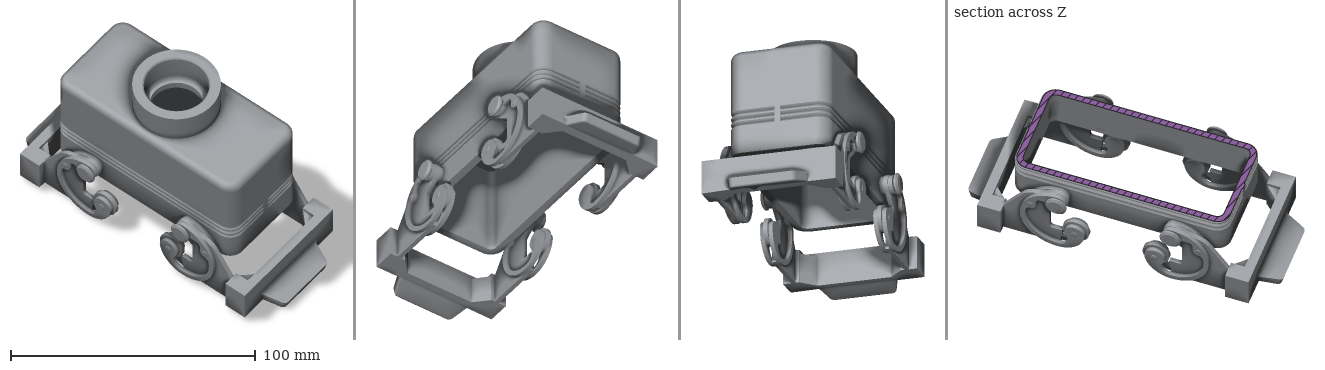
import math

import cadquery as cq


overall_length = 136.8
overall_width = 59.0
overall_height = 80.7

hood_length = 93.5
hood_width = 43.2
hood_height = 45.0
hood_corner_radius = 6.2
hood_top_radius = 3.0
hood_wall = 3.3

groove_count = 3
groove_width = 1.9
groove_depth = 0.8
groove_pitch = 2.5
lowest_groove_z = 12.9
groove_gap_width = 2.7
groove_margin = 1.4

neck_diameter = 36.3
neck_top = 57.7
bore_radius = 13.4
bore_depth = 10.8
bore_chamfer = 0.5
seat_radius = 12.2
seat_depth = 12.9
cable_hole_radius = 11.0

plate_thickness = 1.8
arm_thickness = 1.9
inner_plate_y = hood_width / 2
arm_y = inner_plate_y + plate_thickness
outer_plate_y = arm_y + arm_thickness
stack_outer_y = outer_plate_y + plate_thickness

hook_x = -24.8
hook_z = -4.9
hook_radius = 16.1
hook_inner_radius = 14.0
hook_end_radius = 4.4
pin_end_radius = 3.8
pin_offset = hook_radius - pin_end_radius
roller_offset = (7.4, -5.2)
roller_radius = 5.7
hook_throat_angle = 220
hook_throat_middle = (4.0, -12.0)
bar_bottom = 11.1
bar_fillet = 2.0
boss_offset = (-11.8, 6.8)
boss_radius = 2.5
boss_blend_middle = (-13.3, 3.5)
boss_blend_angle = 171

pin_radius = 2.7
pin_head_radius = 4.5
pin_head_y = 28.0
pin_outer_y = overall_width / 2
pin_head_chamfer_height = 0.7
pin_head_chamfer_width = 1.0
rivet_radius = 1.4
rivet_height = 0.3
rivet_chamfer_height = 0.2
rivet_chamfer_width = 0.4

bail_outer_x = -58.8
bail_inner_x = -48.7
bail_web = 4.1
bail_half_width = 28.7
bail_top = -6.5
bail_bottom = -20.8
bail_arm_y = hood_width / 2
gusset_leg = 5.7
gusset_drop = 1.5

arm_bottom = bail_bottom - hook_z
arm_end_radius = 4.1
arm_shoulder_start = (-15.3, 10.3)
arm_shoulder_middle = (-13.5, 11.6)
arm_shoulder_end = (-10.8, 12.7)
arm_notch_x = -4.0
arm_notch_top = 4.2
arm_notch_bottom = -7.1
arm_notch_fillet = 1.4
arm_toe_x = 1.5
arm_toe_step_x = 0.8
arm_toe_step_top = -10.8
arm_toe_step_bottom = -11.8
arm_overlap = 1.4
arm_edge_angle = 40

tab_tip_x = -overall_length / 2
tab_thickness = 4.1
tab_tilt = math.radians(15)
tab_flare = 1.2
tab_root_half_width = 17.0
tab_tip_half_width = 13.8
tab_corner_radius = 2.2
tab_bottom_radius = 0.8
tab_rounding_lift = tab_bottom_radius * (math.cos(tab_tilt) + math.sin(tab_tilt) - 1)
tab_bottom = neck_top - overall_height - tab_rounding_lift


def polar(center, radius, angle):
    """Point on a circle, angle in degrees; also gives the mid-points that steer arcs."""
    a = math.radians(angle)
    return (center[0] + radius * math.cos(a), center[1] + radius * math.sin(a))


def lever_plane(y, x=hook_x, z=hook_z):
    """XZ sketch plane whose extrusions run towards -Y from -y."""
    return cq.Workplane("XZ", origin=(x, -y, z))


def lever_disc(offset, radius, y_start, y_end):
    """Disc across the lever, placed from the hook centre."""
    return lever_plane(y_start).center(*offset).circle(radius).extrude(y_end - y_start)


def rounded_block(length, width, height, corner_radius):
    return cq.Workplane("XY").rect(length, width).extrude(height).edges("|Z").fillet(corner_radius)


def groove_ring(z):
    """V-shaped ring: a band round the hood minus two frusta meeting at the groove root."""
    half = groove_width / 2
    ring = (
        cq.Workplane("XY", origin=(0, 0, z - half))
        .rect(hood_length + 2 * groove_margin, hood_width + 2 * groove_margin)
        .extrude(groove_width)
    )
    taper = math.degrees(math.atan2(groove_depth, half))
    for bottom, direction in ((z - half, 1), (z + half, -1)):
        core = (
            cq.Workplane("XY", origin=(0, 0, bottom))
            .placeSketch(
                cq.Sketch().rect(hood_length, hood_width).vertices().fillet(hood_corner_radius)
            )
            .extrude(direction * half, taper=taper)
        )
        ring = ring.cut(core)
    strip_length = hood_length + 2 * groove_margin
    strip = cq.Workplane("XY", origin=(0, 0, z)).box(strip_length, groove_gap_width, groove_width)
    return ring.cut(strip)


def make_hood():
    hood = rounded_block(hood_length, hood_width, hood_height, hood_corner_radius)
    hood = hood.faces(">Z").edges().fillet(hood_top_radius)
    for i in range(groove_count):
        hood = hood.cut(groove_ring(lowest_groove_z + i * groove_pitch))
    hood = hood.union(
        cq.Workplane("XY", origin=(0, 0, hood_height - hood_wall))
        .circle(neck_diameter / 2)
        .extrude(neck_top - hood_height + hood_wall)
    )
    cavity = rounded_block(
        hood_length - 2 * hood_wall,
        hood_width - 2 * hood_wall,
        hood_height - hood_wall,
        hood_corner_radius - hood_wall,
    )
    bore = (
        cq.Workplane("XZ")
        .moveTo(0, neck_top)
        .lineTo(bore_radius + bore_chamfer, neck_top)
        .lineTo(bore_radius, neck_top - bore_chamfer)
        .lineTo(bore_radius, neck_top - bore_depth)
        .tangentArcPoint((seat_radius, neck_top - seat_depth), relative=False)
        .lineTo(cable_hole_radius, neck_top - seat_depth)
        .lineTo(cable_hole_radius, 0)
        .lineTo(0, 0)
        .close()
        .revolve(360, (0, 0, 0), (0, 1, 0))
    )
    return hood.cut(cavity).cut(bore)


def hook_plate(y):
    """C-shaped plate from the pivot pin round to the roller."""
    end_right = polar(roller_offset, hook_end_radius, 0)
    throat = polar(roller_offset, hook_end_radius, hook_throat_angle)
    boss_right = polar(boss_offset, boss_radius, 0)
    cap_left = -math.sqrt(pin_end_radius**2 - (pin_offset - bar_bottom) ** 2)
    return (
        lever_plane(y)
        .moveTo(0, hook_radius)
        .threePointArc((-hook_radius, 0), (0, -hook_radius))
        .tangentArcPoint(end_right, relative=False)
        .threePointArc(polar(roller_offset, hook_end_radius, 110), throat)
        .threePointArc(hook_throat_middle, (0, -hook_inner_radius))
        .threePointArc(
            polar((0, 0), hook_inner_radius, 220), polar((0, 0), hook_inner_radius, boss_blend_angle)
        )
        .threePointArc(boss_blend_middle, polar(boss_offset, boss_radius, -90))
        .threePointArc(polar(boss_offset, boss_radius, -45), boss_right)
        .lineTo(boss_right[0], bar_bottom - bar_fillet)
        .tangentArcPoint((boss_right[0] + bar_fillet, bar_bottom), relative=False)
        .lineTo(cap_left, bar_bottom)
        .threePointArc((pin_end_radius, pin_offset), (0, hook_radius))
        .close()
        .extrude(plate_thickness)
    )


def arm_plate():
    """Flat arm from the bail to the pivot pin, with a notch in the edge facing the roller."""
    bail_x = bail_inner_x - hook_x
    pin = (0, pin_offset)
    edge_top = polar(pin, arm_end_radius, arm_edge_angle - 90)
    arm = (
        lever_plane(arm_y)
        .moveTo(bail_x - arm_overlap, arm_bottom)
        .lineTo(bail_x - arm_overlap, bail_top - hook_z)
        .lineTo(bail_x, bail_top - hook_z)
        .lineTo(*arm_shoulder_start)
        .threePointArc(arm_shoulder_middle, arm_shoulder_end)
        .lineTo(*polar(pin, arm_end_radius, 110))
        .threePointArc(polar(pin, arm_end_radius, 30), edge_top)
        .lineTo(arm_notch_x, arm_notch_top)
        .lineTo(arm_notch_x, arm_notch_bottom)
        .lineTo(arm_toe_x, arm_notch_bottom)
        .lineTo(arm_toe_x, arm_toe_step_top)
        .lineTo(arm_toe_step_x, arm_toe_step_bottom)
        .lineTo(arm_toe_step_x, arm_bottom)
        .close()
        .extrude(arm_thickness)
    )
    notch_corner = cq.selectors.NearestToPointSelector(
        (hook_x + arm_notch_x, -arm_y - arm_thickness / 2, hook_z + arm_notch_bottom)
    )
    return arm.edges(notch_corner).fillet(arm_notch_fillet)


def pivot_pin():
    pin = lever_disc((0, pin_offset), pin_radius, inner_plate_y, pin_outer_y)
    head = (
        lever_disc((0, pin_offset), pin_head_radius, pin_head_y, pin_outer_y)
        .faces("<Y")
        .edges()
        .chamfer(pin_head_chamfer_height, pin_head_chamfer_width)
    )
    return pin.union(head)


def rivet(offset):
    """Rivet through the outer hook plate, its head standing slightly proud."""
    return (
        lever_disc(offset, rivet_radius, outer_plate_y, stack_outer_y + rivet_height)
        .faces("<Y")
        .edges()
        .chamfer(rivet_chamfer_height, rivet_chamfer_width)
    )


def lever_side():
    """Everything of one lever on the -Y side of the hood."""
    side = arm_plate().union(hook_plate(inner_plate_y)).union(hook_plate(outer_plate_y))
    side = side.union(lever_disc(roller_offset, roller_radius, arm_y, outer_plate_y))
    side = side.union(pivot_pin())
    for offset in (boss_offset, roller_offset):
        side = side.union(rivet(offset))
    return side


def bail():
    web_inner_x = bail_outer_x + bail_web
    height = bail_top - bail_bottom
    body = (
        cq.Workplane("XY", origin=(0, 0, bail_bottom))
        .moveTo((bail_outer_x + bail_inner_x) / 2, 0)
        .rect(bail_inner_x - bail_outer_x, 2 * bail_half_width)
        .extrude(height)
    )
    opening = (
        cq.Workplane("XY", origin=(0, 0, bail_bottom))
        .moveTo(web_inner_x + bail_half_width, 0)
        .rect(2 * bail_half_width, 2 * bail_arm_y)
        .extrude(height)
    )
    gusset = (
        cq.Workplane("XY", origin=(0, 0, bail_bottom))
        .moveTo(web_inner_x, -bail_arm_y)
        .lineTo(web_inner_x + gusset_leg, -bail_arm_y)
        .lineTo(web_inner_x, -bail_arm_y + gusset_leg)
        .close()
        .extrude(height - gusset_drop)
    )
    return body.cut(opening).union(gusset).union(gusset.mirror("XZ"))


def thumb_tab():
    """Sloping tab: its side profile crossed with its tapered plan outline."""
    slope = math.tan(tab_tilt)
    tip_bottom_x = tab_tip_x + tab_thickness * math.sin(tab_tilt)
    tip_top = tab_bottom + tab_thickness * math.cos(tab_tilt)
    flare_x = bail_outer_x - tab_flare
    flare_z = tip_top + (flare_x - tab_tip_x) * slope
    root_x = bail_outer_x + bail_web / 2
    profile = (
        cq.Workplane("XZ", origin=(0, bail_half_width, 0))
        .moveTo(tab_tip_x, tip_top)
        .lineTo(flare_x, flare_z)
        .tangentArcPoint((bail_outer_x, flare_z + tab_flare), relative=False)
        .lineTo(root_x, flare_z + tab_flare)
        .lineTo(root_x, tab_bottom + (root_x - tip_bottom_x) * slope)
        .lineTo(tip_bottom_x, tab_bottom)
        .close()
        .extrude(2 * bail_half_width)
    )
    slope_plane = cq.Plane(
        origin=(tab_tip_x, 0, tip_top),
        xDir=(math.cos(tab_tilt), 0, math.sin(tab_tilt)),
        normal=(-math.sin(tab_tilt), 0, math.cos(tab_tilt)),
    )
    root = (root_x - tab_tip_x) / math.cos(tab_tilt) + tab_thickness
    flare_start = (flare_x - tab_tip_x) / math.cos(tab_tilt)
    flare_end = flare_start + tab_flare
    flare_half_width = tab_root_half_width + tab_flare
    bow = tab_flare * math.sqrt(0.5)
    flare_middle = (flare_start + bow, flare_half_width - bow)
    plan = (
        cq.Workplane(slope_plane)
        .moveTo(0, -tab_tip_half_width)
        .lineTo(flare_start, -tab_root_half_width)
        .threePointArc((flare_middle[0], -flare_middle[1]), (flare_end, -flare_half_width))
        .lineTo(root, -flare_half_width)
        .lineTo(root, flare_half_width)
        .lineTo(flare_end, flare_half_width)
        .threePointArc(flare_middle, (flare_start, tab_root_half_width))
        .lineTo(0, tab_tip_half_width)
        .close()
        .extrude(tab_thickness, both=True)
        .faces("<X")
        .edges("not |Y")
        .fillet(tab_corner_radius)
    )
    tab = profile.intersect(plan)
    underside = cq.selectors.ParallelDirSelector(slope_plane.zDir)
    return tab.faces(underside).faces("<Z").edges("not >X").fillet(tab_bottom_radius)


def make_lever():
    side = lever_side()
    return bail().union(thumb_tab()).union(side).union(side.mirror("XZ"))


lever = make_lever()
result = make_hood().union(lever).union(lever.mirror("YZ"))